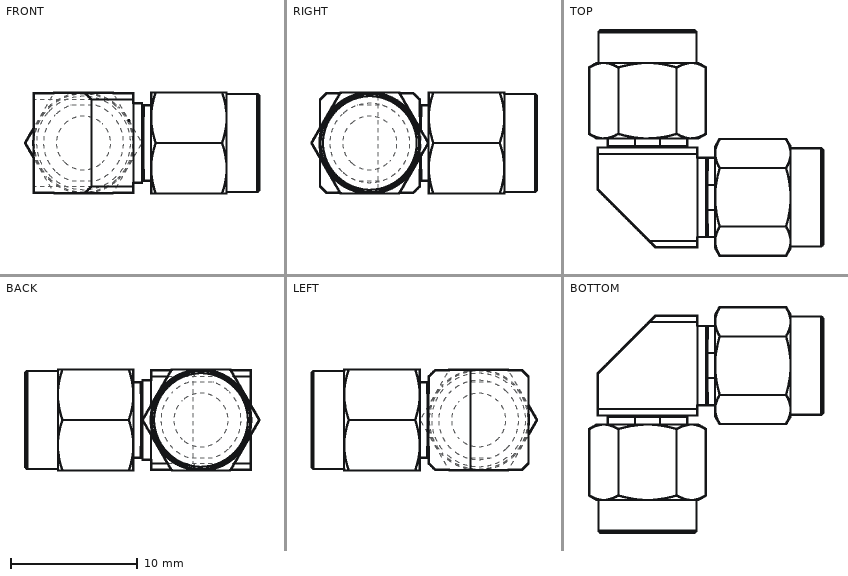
import cadquery as cq
import math


OVERALL_X = 18.58

BODY_SIZE = 7.92
BODY_HALF = BODY_SIZE / 2
CORNER_CUT = 4.59
EDGE_CHAMFER = 0.52

COLLAR_DIAMETER = 6.32
SPACER_LENGTH = 0.69

NECK_DIAMETER = 4.27
NECK_LENGTH = 0.11
COLLAR_LENGTH = 0.6
COLLAR_ACROSS_FLATS = 6.0
FERRULE_LENGTH = NECK_LENGTH + COLLAR_LENGTH

NUT_ACROSS_FLATS = 8.03
NUT_ACROSS_CORNERS = NUT_ACROSS_FLATS / math.cos(math.radians(30))
CONNECTOR_LENGTH = OVERALL_X - NUT_ACROSS_CORNERS / 2 - BODY_HALF - SPACER_LENGTH
HEX_LENGTH = 6.0
HEX_FACE_DIAMETER = 7.99
HEX_CHAMFER_ANGLE = 30
BARREL_DIAMETER = 7.8
BARREL_LENGTH = CONNECTOR_LENGTH - FERRULE_LENGTH - HEX_LENGTH
BARREL_CHAMFER = 0.19

X_SPACER_SEAT = cq.Plane(origin=(BODY_HALF, 0, 0), xDir=(0, 1, 0), normal=(1, 0, 0))
X_CONNECTOR_SEAT = cq.Plane(origin=(BODY_HALF + SPACER_LENGTH, 0, 0), xDir=(0, 1, 0), normal=(1, 0, 0))
Y_CONNECTOR_SEAT = cq.Plane(origin=(0, BODY_HALF, 0), xDir=(-1, 0, 0), normal=(0, 1, 0))


def make_body():
    """Cube with its outer vertical corner cut off and the edges along X chamfered."""
    block = cq.Workplane("XY").box(BODY_SIZE, BODY_SIZE, BODY_SIZE)
    block = block.edges("|X").chamfer(EDGE_CHAMFER)
    corner = (
        cq.Workplane("XY", origin=(-BODY_HALF, -BODY_HALF, -BODY_HALF))
        .polyline([(0, 0), (CORNER_CUT, 0), (0, CORNER_CUT)])
        .close()
        .extrude(BODY_SIZE)
    )
    return block.cut(corner)


def make_spacer(seat):
    """Plain disc between the block and the +X connector."""
    return cq.Workplane(seat).circle(COLLAR_DIAMETER / 2).extrude(SPACER_LENGTH)


def make_ferrule(seat):
    """Neck and flatted collar, with the flats facing up and down."""
    neck = cq.Workplane(seat).circle(NECK_DIAMETER / 2).extrude(NECK_LENGTH)
    collar_start = cq.Workplane(seat).workplane(offset=NECK_LENGTH)
    collar = collar_start.circle(COLLAR_DIAMETER / 2).extrude(COLLAR_LENGTH)
    flats = collar_start.rect(COLLAR_DIAMETER, COLLAR_ACROSS_FLATS).extrude(COLLAR_LENGTH)
    return neck.union(collar.intersect(flats))


def make_hex_envelope(profile_plane):
    """Turned shape that gives the hexagon a conical chamfer at both ends."""
    corner_radius = NUT_ACROSS_CORNERS / 2
    face_radius = HEX_FACE_DIAMETER / 2
    chamfer_length = (corner_radius - face_radius) * math.tan(math.radians(HEX_CHAMFER_ANGLE))
    hex_start = FERRULE_LENGTH
    hex_end = FERRULE_LENGTH + HEX_LENGTH
    return (
        cq.Workplane(profile_plane)
        .polyline([
            (0, hex_start),
            (face_radius, hex_start),
            (corner_radius, hex_start + chamfer_length),
            (corner_radius, hex_end - chamfer_length),
            (face_radius, hex_end),
            (0, hex_end),
        ])
        .close()
        .revolve(360, (0, 0, 0), (0, 1, 0))
    )


def make_nut(seat):
    """Hexagon with flats facing up and down, and a barrel chamfered at its open end."""
    nut_start = cq.Workplane(seat).workplane(offset=FERRULE_LENGTH)
    profile_plane = cq.Plane(origin=seat.origin, xDir=seat.xDir, normal=seat.xDir.cross(seat.zDir))
    hexagon = nut_start.polygon(6, NUT_ACROSS_CORNERS).extrude(HEX_LENGTH)
    hexagon = hexagon.intersect(make_hex_envelope(profile_plane))
    barrel = (
        nut_start.workplane(offset=HEX_LENGTH)
        .circle(BARREL_DIAMETER / 2)
        .extrude(BARREL_LENGTH)
        .faces(cq.selectors.DirectionMinMaxSelector(seat.zDir))
        .chamfer(BARREL_CHAMFER)
    )
    return hexagon.union(barrel)


body = make_body()
spacer = make_spacer(X_SPACER_SEAT)

ferrules = []
nuts = []
for connector_seat in (X_CONNECTOR_SEAT, Y_CONNECTOR_SEAT):
    ferrules.append(make_ferrule(connector_seat).val())
    nuts.append(make_nut(connector_seat).val())

result = cq.Compound.makeCompound([body.val(), spacer.val(), *ferrules, *nuts])